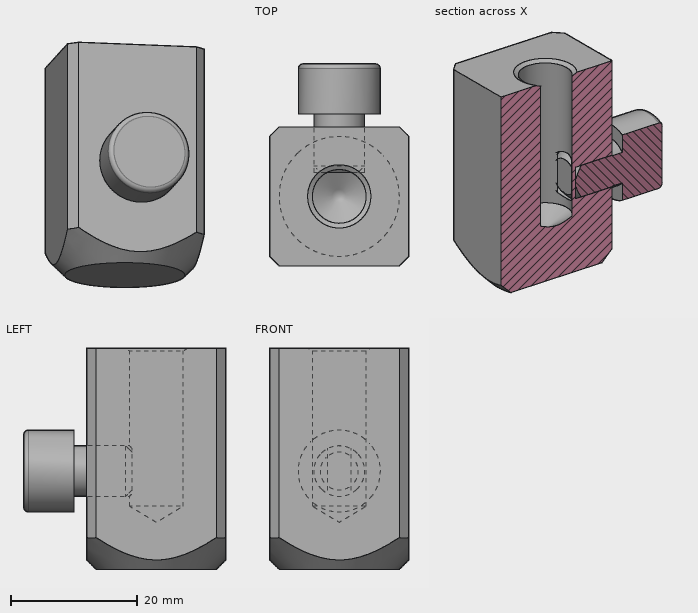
import cadquery as cq
import math

block_width = 22.0
block_height = 35.0
corner_chamfer = 1.5

bore_diameter = 8.5
mouth_diameter = 10.0
countersink_angle = 120.0
bore_depth = 25.0
drill_point_angle = 118.0

screw_height = 15.58
shank_diameter = 8.0
head_diameter = 13.0
head_length = 7.98
head_gap = 2.0
head_fillet = 0.77
tip_y = 3.8
tip_chamfer = 1.0

head_seat_y = block_width / 2 + head_gap
shank_length = head_seat_y - tip_y


def cone_depth(radius_change, included_angle):
    """Axial length over which a cone's radius changes by the given amount."""
    return radius_change / math.tan(math.radians(included_angle / 2))


def turned_nose_envelope():
    """Round envelope that leaves a 45 degree cone on the bottom of the block."""
    base_radius = block_width / 2 - corner_chamfer
    outer_radius = block_width
    cone_height = outer_radius - base_radius
    return (
        cq.Workplane("XZ")
        .polyline([
            (0, 0),
            (base_radius, 0),
            (outer_radius, cone_height),
            (outer_radius, block_height),
            (0, block_height),
        ])
        .close()
        .revolve(360, (0, 0, 0), (0, 1, 0))
    )


def bore_cutter():
    """Volume of the vertical bore, from its mouth down to the drill point."""
    bore_radius = bore_diameter / 2
    mouth_radius = mouth_diameter / 2
    countersink_z = block_height - cone_depth(mouth_radius - bore_radius, countersink_angle)
    bore_floor_z = block_height - bore_depth
    point_z = bore_floor_z - cone_depth(bore_radius, drill_point_angle)
    return (
        cq.Workplane("XZ")
        .polyline([
            (0, point_z),
            (bore_radius, bore_floor_z),
            (bore_radius, countersink_z),
            (mouth_radius, block_height),
            (0, block_height),
        ])
        .close()
        .revolve(360, (0, 0, 0), (0, 1, 0))
    )


def cylinder_along_y(diameter, start_y, length):
    """Cylinder on the screw axis, running from start_y toward +Y."""
    return (
        cq.Workplane("XZ", origin=(0, start_y, screw_height))
        .circle(diameter / 2)
        .extrude(-length)
    )


def make_block():
    """Chamfered bar with a conical bottom, a bore and a side hole for the screw."""
    bar = (
        cq.Workplane("XY")
        .rect(block_width, block_width)
        .extrude(block_height)
        .edges("|Z")
        .chamfer(corner_chamfer)
    )
    screw_hole = cylinder_along_y(shank_diameter, tip_y, shank_length)
    return bar.intersect(turned_nose_envelope()).cut(bore_cutter()).cut(screw_hole)


def make_clamp_screw():
    """Cylindrical head with a rounded outer rim, and a shank with a chamfered flat tip."""
    head = cylinder_along_y(head_diameter, head_seat_y, head_length)
    head = head.faces(">Y").edges().fillet(head_fillet)
    shank = cylinder_along_y(shank_diameter, tip_y, shank_length)
    shank = shank.faces("<Y").edges().chamfer(tip_chamfer)
    return head.union(shank)


block = make_block()
clamp_screw = make_clamp_screw()

result = cq.Compound.makeCompound([block.val(), clamp_screw.val()])